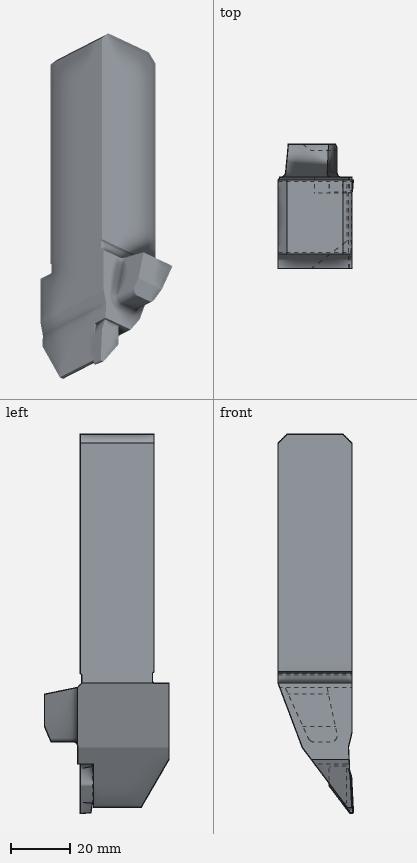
import cadquery as cq
import math


TOTAL_HEIGHT = 128
SHANK_SIZE = 25.0
TOP_CHAMFER = 3.1

NECK_DEPTH = 0.5
NECK_FRONT_TOP_Z = 47.5
NECK_BACK_TOP_Z = 46.8
NECK_RAMP = 0.4
NECK_FILLET = 0.6

HEAD_TOP_Z = 44.0
HEAD_BOTTOM_Z = 2.2
HEAD_FRONT_Y = -5.0
HEAD_BACK_Y = 25.9
NOSE_START_Z = 18.3
NOSE_END_Y = 4.4
SLOPE_BREAK_X = 8.2
SLOPE_BREAK_Z = 22.3
LOWER_SLOPE = 37
RELIEF_TOP_Z = 27.3
RELIEF_X = 23.8
RELIEF_Z = 22.5
HEAD_TIP_X = 24.8

LUG_BACK_Y = 37.0
LUG_BOTTOM_Z = 24.2
LUG_BACK_TOP_Z = 40.3
LUG_LEFT_X = 3.5
LUG_LEFT_SLOPE = 24.5
LUG_RIGHT_X = 17.0
LUG_RIGHT_BOTTOM_X = 20.5
LUG_CORNER_RADIUS = 2.2
LUG_ROOT_RADIUS = 1.4
LUG_BEVEL_HEIGHT = 5.2
LUG_BEVEL_SLOPE = 23

POCKET_FLOOR_Y = 20.5
INSERT_BACK_Y = SHANK_SIZE
INSERT_THICKNESS = 4.1
INSERT_LEFT_X = 17.2
INSERT_TOP_Z = 16.8
INSERT_TOP_RIGHT_X = 23.3
INSERT_SHOULDER_Z = 12.5
INSERT_TIP_X = 25.5
RIGHT_EDGE_SLOPE = 3
NOSE_RADIUS = 0.8
INSERT_CORNER_RADIUS = 1.3
CLEARANCE = 5
RIM = 0.6
SEAT_TOP_Z = 16.1
SEAT_BOTTOM_Z = 3.6
SEAT_RIGHT_X = 23
SEAT_CORNER_RADIUS = 1.0
TIP_RELIEF_HEIGHT = 3.2
TIP_RELIEF_SLOPE = 9

SELECT_MARGIN = 0.1


def tan_deg(angle):
    return math.tan(math.radians(angle))


def extrude_along_x(points, start_x, end_x):
    """Prism along X from (Y, Z) points."""
    return cq.Workplane("YZ", origin=(start_x, 0, 0)).polyline(points).close().extrude(end_x - start_x)


def extrude_along_y(points, front_y, back_y):
    """Prism along Y from (X, Z) points."""
    return cq.Workplane("XZ", origin=(0, back_y, 0)).polyline(points).close().extrude(back_y - front_y)


def make_lug():
    """Lug with slanted sides, reaching up to the level of the head top."""
    rise = HEAD_TOP_Z - LUG_BACK_TOP_Z
    drop = LUG_BACK_TOP_Z - LUG_BOTTOM_Z
    left_slope = tan_deg(LUG_LEFT_SLOPE)
    right_slope = (LUG_RIGHT_BOTTOM_X - LUG_RIGHT_X) / drop
    outline = [
        (LUG_LEFT_X - rise * left_slope, HEAD_TOP_Z),
        (LUG_LEFT_X + drop * left_slope, LUG_BOTTOM_Z),
        (LUG_RIGHT_BOTTOM_X, LUG_BOTTOM_Z),
        (LUG_RIGHT_X - rise * right_slope, HEAD_TOP_Z),
    ]
    lug = extrude_along_y(outline, SHANK_SIZE, LUG_BACK_Y)
    return lug.edges("|Y and <Z").fillet(LUG_CORNER_RADIUS)


def make_blank():
    """Plain bar with the lug on its back; the lug root is rounded at the sides and the bottom."""
    bar = cq.Workplane().box(
        SHANK_SIZE, HEAD_BACK_Y - HEAD_FRONT_Y, TOTAL_HEIGHT, centered=False
    )
    blank = bar.translate((0, HEAD_FRONT_Y, 0)).union(make_lug())
    root_zone = cq.selectors.BoxSelector(
        (SELECT_MARGIN, HEAD_BACK_Y - SELECT_MARGIN, LUG_BOTTOM_Z - SELECT_MARGIN),
        (SHANK_SIZE - SELECT_MARGIN, HEAD_BACK_Y + SELECT_MARGIN, HEAD_TOP_Z - SELECT_MARGIN),
    )
    return blank.edges(root_zone).fillet(LUG_ROOT_RADIUS)


def make_side_envelope():
    """(Y, Z) outline of shank, neck, head and lug, with room for the lug root, swept across the width."""
    neck_back_y = SHANK_SIZE - NECK_DEPTH
    head_shoulder_z = HEAD_TOP_Z - (HEAD_BACK_Y - neck_back_y)
    bevel_run = LUG_BEVEL_HEIGHT * tan_deg(LUG_BEVEL_SLOPE)
    outline = [
        (0, TOTAL_HEIGHT),
        (0, NECK_FRONT_TOP_Z + NECK_RAMP),
        (NECK_DEPTH, NECK_FRONT_TOP_Z),
        (NECK_DEPTH, HEAD_TOP_Z),
        (HEAD_FRONT_Y, HEAD_TOP_Z),
        (HEAD_FRONT_Y, NOSE_START_Z),
        (NOSE_END_Y, HEAD_BOTTOM_Z),
        (HEAD_BACK_Y, HEAD_BOTTOM_Z),
        (HEAD_BACK_Y, LUG_BOTTOM_Z - LUG_ROOT_RADIUS),
        (HEAD_BACK_Y + LUG_ROOT_RADIUS, LUG_BOTTOM_Z - LUG_ROOT_RADIUS),
        (HEAD_BACK_Y + LUG_ROOT_RADIUS, LUG_BOTTOM_Z),
        (LUG_BACK_Y - bevel_run, LUG_BOTTOM_Z),
        (LUG_BACK_Y, LUG_BOTTOM_Z + LUG_BEVEL_HEIGHT),
        (LUG_BACK_Y, LUG_BACK_TOP_Z),
        (HEAD_BACK_Y, head_shoulder_z),
        (neck_back_y, HEAD_TOP_Z),
        (neck_back_y, NECK_BACK_TOP_Z),
        (SHANK_SIZE, NECK_BACK_TOP_Z + NECK_RAMP),
        (SHANK_SIZE, TOTAL_HEIGHT),
    ]
    envelope = extrude_along_x(outline, 0, SHANK_SIZE)
    neck_corner = cq.NearestToPointSelector((SHANK_SIZE / 2, NECK_DEPTH, HEAD_TOP_Z))
    return envelope.edges(neck_corner).fillet(NECK_FILLET)


def make_front_envelope():
    """(X, Z) outline of shank and head, swept from the front of the head to the back of the lug."""
    slope_bottom_x = SLOPE_BREAK_X + (SLOPE_BREAK_Z - HEAD_BOTTOM_Z) * tan_deg(LOWER_SLOPE)
    outline = [
        (TOP_CHAMFER, TOTAL_HEIGHT),
        (0, TOTAL_HEIGHT - TOP_CHAMFER),
        (0, HEAD_TOP_Z),
        (SLOPE_BREAK_X, SLOPE_BREAK_Z),
        (slope_bottom_x, HEAD_BOTTOM_Z),
        (HEAD_TIP_X, HEAD_BOTTOM_Z),
        (RELIEF_X, RELIEF_Z),
        (SHANK_SIZE, RELIEF_TOP_Z),
        (SHANK_SIZE, TOTAL_HEIGHT - TOP_CHAMFER),
        (SHANK_SIZE - TOP_CHAMFER, TOTAL_HEIGHT),
    ]
    return extrude_along_y(outline, HEAD_FRONT_Y, LUG_BACK_Y)


def make_pocket():
    """Space for the insert, open to the left, right, back and bottom."""
    outline = [
        (0, INSERT_TOP_Z),
        (INSERT_TIP_X, INSERT_TOP_Z),
        (INSERT_TIP_X, 0),
        (0, 0),
    ]
    return extrude_along_y(outline, POCKET_FLOOR_Y, HEAD_BACK_Y)


def make_holder():
    holder = make_blank().intersect(make_side_envelope()).intersect(make_front_envelope())
    return holder.cut(make_pocket()).solids()


def near(point):
    """Selector of the sketch vertex at a point."""
    return cq.NearestToPointSelector((*point, 0))


def insert_outline():
    """(X, Z) outline with sharp corners, from the nose up the right edge to the left corner."""
    nose_x = INSERT_TIP_X - NOSE_RADIUS
    nose_z = NOSE_RADIUS
    right_slope = tan_deg(RIGHT_EDGE_SLOPE)
    left_slope = tan_deg(LOWER_SLOPE)
    right_x = nose_x + NOSE_RADIUS / math.cos(math.radians(RIGHT_EDGE_SLOPE))
    left_x = nose_x - NOSE_RADIUS / math.cos(math.radians(LOWER_SLOPE))
    drop = (right_x - left_x) / (left_slope - right_slope)
    shoulder_x = right_x - (INSERT_SHOULDER_Z - nose_z) * right_slope
    corner_z = nose_z + (left_x - INSERT_LEFT_X) / left_slope
    raised_top_z = INSERT_TOP_Z + INSERT_THICKNESS * tan_deg(CLEARANCE)
    return [
        (right_x + drop * right_slope, nose_z - drop),
        (shoulder_x, INSERT_SHOULDER_Z),
        (INSERT_TOP_RIGHT_X, raised_top_z),
        (INSERT_LEFT_X, raised_top_z),
        (INSERT_LEFT_X, corner_z),
    ]


def make_cutting_body(outline):
    """Insert body whose sides narrow from the back toward the pocket floor."""
    sketch = cq.Sketch().polygon([*outline, outline[0]])
    nose, *_, left_corner = outline
    sketch.vertices(near(nose)).fillet(NOSE_RADIUS).reset()
    sketch.vertices(near(left_corner)).fillet(INSERT_CORNER_RADIUS).reset()
    plane = cq.Workplane("XZ", origin=(0, INSERT_BACK_Y, 0))
    body = plane.placeSketch(sketch).extrude(INSERT_THICKNESS, taper=CLEARANCE)
    return body.cut(make_tip_relief()).intersect(make_pocket())


def make_tip_relief():
    """Wedge that thins the front side of the tip."""
    front_y = INSERT_BACK_Y - INSERT_THICKNESS
    thinning = TIP_RELIEF_HEIGHT * tan_deg(TIP_RELIEF_SLOPE)
    wedge = [
        (front_y, TIP_RELIEF_HEIGHT),
        (front_y, 0),
        (front_y + thinning, 0),
    ]
    return extrude_along_x(wedge, 0, INSERT_TIP_X)


def make_seat(outline):
    """Straight-sided part of the insert, from under the cutting rim to the pocket floor."""
    rim_y = INSERT_BACK_Y - RIM
    inset = RIM * tan_deg(CLEARANCE)
    plane = cq.Workplane("XZ", origin=(0, rim_y, 0))
    seat = plane.polyline(outline).close().offset2D(-inset).extrude(rim_y - POCKET_FLOOR_Y)
    band = cq.Workplane().box(
        SEAT_RIGHT_X, rim_y - POCKET_FLOOR_Y, SEAT_TOP_Z - SEAT_BOTTOM_Z, centered=False
    )
    seat = seat.intersect(band.translate((0, POCKET_FLOOR_Y, SEAT_BOTTOM_Z)))
    left_corner_x, left_corner_z = outline[-1]
    left_corner = cq.NearestToPointSelector((left_corner_x, rim_y, left_corner_z))
    seat = seat.edges("|Y").edges(left_corner).fillet(INSERT_CORNER_RADIUS)
    left_ends = cq.selectors.BoxSelector(
        (0, POCKET_FLOOR_Y, SEAT_BOTTOM_Z - SELECT_MARGIN),
        (SEAT_RIGHT_X - SELECT_MARGIN, rim_y, SEAT_TOP_Z + SELECT_MARGIN),
    )
    return seat.edges("|Y and (<Z or >Z)").edges(left_ends).fillet(SEAT_CORNER_RADIUS)


def make_insert():
    outline = insert_outline()
    return make_cutting_body(outline).union(make_seat(outline)).solids()


holder = make_holder()
insert = make_insert()
result = cq.Compound.makeCompound([holder.val(), insert.val()])